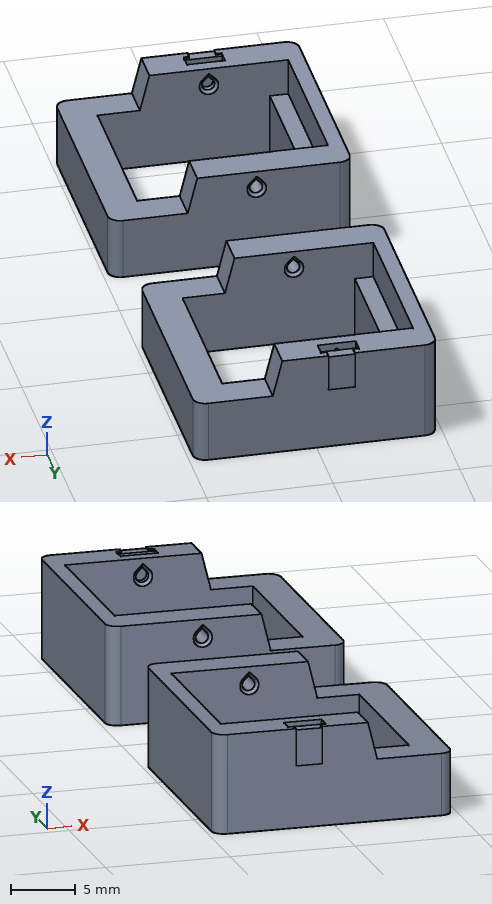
import cadquery as cq
import math

WIDTH = 19.12
LENGTH = 19.3
OVERALL_Y = 48.64
HEIGHT = 8.0
CORNER_RADIUS = 1.0
OPENING_X = 13.6
OPENING_Y = 13.7

STEP_Z = 5.0
RAMP_TOP_X = 2.7
RAMP_BOTTOM_X = 3.45
THIN_WALL = 1.3

SLOT_X = -2.0
NECK_WIDTH = 2.1
NECK_DEPTH = 0.6
HEAD_WIDTH = 3.0
SLOT_DEPTH = 1.8
KEY_DEPTH = 0.9
KEY_TOP_DROP = 0.1

BORE_RADIUS = 0.5
COUNTERSINK = 0.25
HOLE_Z = 6.5

HALF_X = WIDTH / 2
HALF_Y = LENGTH / 2
FRAME_Y = (OVERALL_Y - LENGTH) / 2
MOUTH_RADIUS = BORE_RADIUS + COUNTERSINK
OUTER_FACE_Y = -HALF_Y


def box_between(x_range, y_range, z_range):
    """Axis-aligned box given by its (low, high) limits on each axis."""
    size = [high - low for low, high in (x_range, y_range, z_range)]
    corner = (x_range[0], y_range[0], z_range[0])
    return cq.Workplane("XY").box(*size, centered=False).translate(corner)


def tee(depth, top_z):
    """T-shaped prism: narrow neck at the outer face, wide head behind it."""
    head_y = OUTER_FACE_Y + NECK_DEPTH
    back_y = OUTER_FACE_Y + depth
    z_range = (STEP_Z, top_z)
    neck = box_between((SLOT_X - NECK_WIDTH / 2, SLOT_X + NECK_WIDTH / 2), (OUTER_FACE_Y, back_y), z_range)
    head = box_between((SLOT_X - HEAD_WIDTH / 2, SLOT_X + HEAD_WIDTH / 2), (head_y, back_y), z_range)
    return neck.union(head)


def teardrop(radius, y):
    """Teardrop wire in the plane at y: a circle with a 45 degree pointed roof."""
    tangent = radius * math.sqrt(0.5)
    apex = radius * math.sqrt(2)
    outline = (
        cq.Workplane("XZ", origin=(SLOT_X, y, HOLE_Z))
        .moveTo(tangent, tangent)
        .lineTo(0, apex)
        .lineTo(-tangent, tangent)
        .threePointArc((0, -radius), (tangent, tangent))
        .close()
    )
    return outline.val()


def countersunk_hole(start_y, end_y):
    """Teardrop hole along Y through a wall, countersunk at both of the wall's faces."""
    sections = [
        teardrop(MOUTH_RADIUS, start_y),
        teardrop(BORE_RADIUS, start_y + COUNTERSINK),
        teardrop(BORE_RADIUS, end_y - COUNTERSINK),
        teardrop(MOUTH_RADIUS, end_y),
    ]
    return cq.Workplane(cq.Solid.makeLoft(sections, True))


def make_frame():
    """Frame with its slot in the -Y wall."""
    body = cq.Workplane("XY").rect(WIDTH, LENGTH).extrude(HEIGHT).edges("|Z").fillet(CORNER_RADIUS)
    opening = cq.Workplane("XY").rect(OPENING_X, OPENING_Y).extrude(HEIGHT)
    ledge_cut = box_between((THIN_WALL - HALF_X, 0), (-OPENING_Y / 2, OPENING_Y / 2), (STEP_Z, HEIGHT))
    step_profile = [(RAMP_TOP_X, HEIGHT), (RAMP_BOTTOM_X, STEP_Z), (WIDTH, STEP_Z), (WIDTH, HEIGHT)]
    step = cq.Workplane("XZ").polyline(step_profile).close().extrude(LENGTH, both=True)
    body = body.cut(opening).cut(ledge_cut).cut(step).cut(tee(SLOT_DEPTH, HEIGHT))
    for wall in ((-HALF_Y + SLOT_DEPTH, -OPENING_Y / 2), (OPENING_Y / 2, HALF_Y)):
        body = body.cut(countersunk_hole(*wall))
    return body


def make_key():
    """Key filling the outer part of the slot."""
    return tee(KEY_DEPTH, HEIGHT - KEY_TOP_DROP)


def mirrored_pair(part):
    """Two mirror-image copies along Y, each with its slotted wall outermost."""
    front = part.translate((0, -FRAME_Y, 0))
    return front.add(front.mirror("XZ"))


frames = mirrored_pair(make_frame())
keys = mirrored_pair(make_key())

result = cq.Compound.makeCompound([*frames.solids().vals(), *keys.solids().vals()])